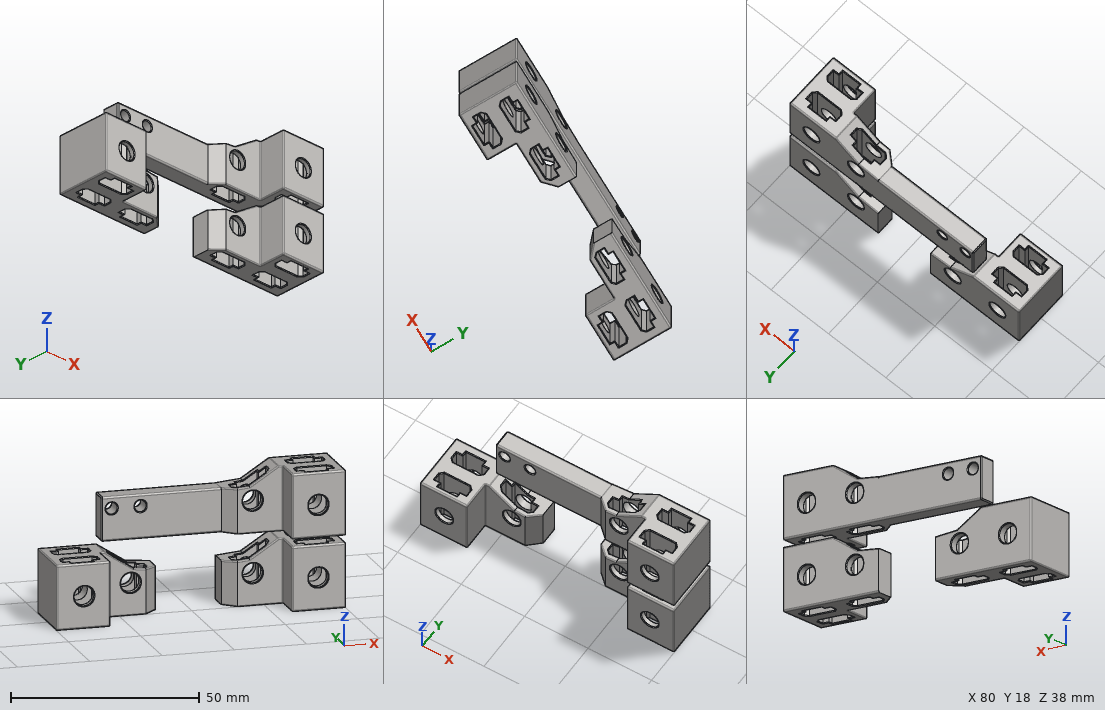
import cadquery as cq
import math

LENGTH = 80.0
DEPTH = 18.0
HEIGHT = 18.0
STACK_GAP = 2.0

BLOCK_WIDTH = 14.8
LUG_END = 30.9
LUG_THICKNESS = DEPTH / 2
LUG_FRONT = DEPTH - LUG_THICKNESS
LUG_BEVEL_START = 27.4
RAMP_START = 16.0
RAMP_FOOT = 24.0
RAMP_FOOT_HEIGHT = 12.9

ARM_END = 64.0
ARM_THICKNESS = 5.8
ARM_FRONT = DEPTH - ARM_THICKNESS
ARM_HEIGHT = 12.2

LONG_EDGE_RADIUS = 0.5
SHORT_EDGE_RADIUS = 0.3
INNER_CORNER_RADIUS = 0.2

HOLE_INSET = 7.6
HOLE_PITCH = 15.5
HOLE_LEVEL = HEIGHT / 2
BOLT_HOLE_DIAMETER = 5.4
ARM_HOLE_DIAMETER = 3.2
ARM_HOLE_INSET = 2.8
ARM_HOLE_PITCH = 8.0
ARM_HOLE_COUNT = 2

SLOT_WIDTH = 10.0
SLOT_DEPTH = 3.2
SLOT_STEP_WIDTH = 6.0
SLOT_STEP_DEPTH = 1.5
SLOT_CORNER = 1.0
BACK_SLOT_INSET = 2.6
FRONT_SLOT_INSET = 1.6

MOUTH_BEVEL = 0.2

TOLERANCE = 0.01

BLOCK_HOLE_X = -HOLE_INSET
LUG_HOLE_X = -HOLE_INSET - HOLE_PITCH

BLOCK_BACK_SLOT = (BLOCK_HOLE_X, DEPTH - BACK_SLOT_INSET, -1)
BLOCK_FRONT_SLOT = (BLOCK_HOLE_X, FRONT_SLOT_INSET, 1)
LUG_SLOT = (LUG_HOLE_X, DEPTH - BACK_SLOT_INSET, -1)


def bottom(x):
    return 0.0


def block_top(x):
    return HEIGHT


def steep_ramp(x):
    """Upper part of the lug top, from the ramp foot up to the block."""
    slope = (HEIGHT - RAMP_FOOT_HEIGHT) / (RAMP_FOOT - RAMP_START)
    return RAMP_FOOT_HEIGHT + slope * (x + RAMP_FOOT)


def gentle_ramp(x):
    """Lower part of the lug top, from the lug end up to the ramp foot."""
    slope = (RAMP_FOOT_HEIGHT - ARM_HEIGHT) / (LUG_END - RAMP_FOOT)
    return RAMP_FOOT_HEIGHT + slope * (x + RAMP_FOOT)


def bracket_blank():
    """Intersect the footprint with the side profile to get the sharp-edged bracket."""
    footprint = [
        (0, 0),
        (0, DEPTH),
        (-LUG_END, DEPTH),
        (-LUG_END, ARM_FRONT),
        (-LUG_BEVEL_START, LUG_FRONT),
        (-BLOCK_WIDTH, LUG_FRONT),
        (-BLOCK_WIDTH, 0),
    ]
    profile = [
        (0, 0),
        (0, HEIGHT),
        (-RAMP_START, HEIGHT),
        (-RAMP_FOOT, RAMP_FOOT_HEIGHT),
        (-LUG_END, ARM_HEIGHT),
        (-LUG_END, 0),
    ]
    plan = cq.Workplane("XY").polyline(footprint).close().extrude(HEIGHT)
    side = cq.Workplane("XZ").polyline(profile).close().extrude(-DEPTH)
    return plan.intersect(side)


def on_lug_front(edge):
    return abs(edge.Center().y - LUG_FRONT) < TOLERANCE


def runs_along_x(edge):
    box = edge.BoundingBox()
    return box.ylen < TOLERANCE and box.zlen < TOLERANCE


def is_inner_corner(edge):
    """The upright edge where the lug front meets the side of the block."""
    box = edge.BoundingBox()
    upright = box.xlen < TOLERANCE and box.ylen < TOLERANCE
    return upright and on_lug_front(edge) and abs(edge.Center().x + BLOCK_WIDTH) < TOLERANCE


def is_long_edge(edge):
    """Edges along X on the front and back faces of the block."""
    return runs_along_x(edge) and not on_lug_front(edge)


def is_lug_edge(edge):
    """Ramp, bevel and lug front edges: all that advance in X and are not long edges."""
    return edge.BoundingBox().xlen > TOLERANCE and not is_long_edge(edge)


def is_block_side_edge(edge):
    """Edges around the two X sides of the block."""
    if edge.BoundingBox().xlen > TOLERANCE:
        return False
    return any(abs(edge.Center().x - x) < TOLERANCE for x in (0, -BLOCK_WIDTH))


def rounded_bracket():
    body = bracket_blank()
    body = body.edges().filter(is_inner_corner).fillet(INNER_CORNER_RADIUS)
    body = body.edges().filter(is_long_edge).fillet(LONG_EDGE_RADIUS)
    body = body.edges().filter(is_lug_edge).fillet(SHORT_EDGE_RADIUS)
    return body.edges().filter(is_block_side_edge).fillet(SHORT_EDGE_RADIUS)


def rounded_arm():
    arm = cq.Workplane("XY").box(ARM_END - LUG_END, ARM_THICKNESS, ARM_HEIGHT, centered=False)
    arm = arm.translate((-ARM_END, ARM_FRONT, 0))
    arm = arm.edges("|X").fillet(LONG_EDGE_RADIUS)
    return arm.faces("<X").edges().chamfer(SHORT_EDGE_RADIUS)


def slot_outline(slot, grow=0.0):
    """Stepped slot outline, offset outward by `grow`."""
    x, step_end, inward = slot
    near = step_end - inward * grow
    shoulder = near + inward * SLOT_STEP_DEPTH
    far = step_end + inward * (SLOT_STEP_DEPTH + SLOT_DEPTH + grow)
    step_half = SLOT_STEP_WIDTH / 2 + grow
    half = SLOT_WIDTH / 2 + grow
    corner = SLOT_CORNER + grow * (2 - math.sqrt(2))
    left = [
        (x - step_half, near),
        (x - step_half, shoulder),
        (x - half, shoulder),
        (x - half, far - inward * corner),
        (x - half + corner, far),
    ]
    right = [(2 * x - px, py) for px, py in reversed(left)]
    return left + right


def slot_passage(slot):
    return cq.Workplane("XY").polyline(slot_outline(slot)).close().extrude(HEIGHT)


def slot_flare(slot, surface, outward):
    """Bevel cutter that follows `surface`; `outward` is the Z direction out of the body."""
    rims = []
    for grow, rise in ((2 * MOUTH_BEVEL, MOUTH_BEVEL), (0, -MOUTH_BEVEL)):
        points = [cq.Vector(x, y, surface(x) + outward * rise) for x, y in slot_outline(slot, grow)]
        rims.append(cq.Wire.makePolygon(points, close=True))
    return cq.Workplane(cq.Solid.makeLoft(rims, True))


def lug_slot_flares():
    """One flare for each part of the lug top, parted at the ramp foot."""
    uphill = cq.Workplane("XY").box(RAMP_FOOT, DEPTH, 2 * HEIGHT, centered=False)
    uphill = uphill.translate((-RAMP_FOOT, 0, 0))
    steep = slot_flare(LUG_SLOT, steep_ramp, 1).intersect(uphill)
    gentle = slot_flare(LUG_SLOT, gentle_ramp, 1).cut(uphill)
    return [steep, gentle]


def slot_cutters():
    cutters = lug_slot_flares()
    for slot in (BLOCK_BACK_SLOT, BLOCK_FRONT_SLOT, LUG_SLOT):
        cutters.append(slot_passage(slot))
        cutters.append(slot_flare(slot, bottom, -1))
    for slot in (BLOCK_BACK_SLOT, BLOCK_FRONT_SLOT):
        cutters.append(slot_flare(slot, block_top, 1))
    return cutters


def hole_cutter(x, front, diameter):
    """Hole along Y from y = `front` to the back face, bevelled at both mouths."""
    radius = diameter / 2
    half_section = [
        (0, front),
        (radius + MOUTH_BEVEL, front),
        (radius, front + MOUTH_BEVEL),
        (radius, DEPTH - MOUTH_BEVEL),
        (radius + MOUTH_BEVEL, DEPTH),
        (0, DEPTH),
    ]
    cutter = cq.Workplane("XY").polyline(half_section).close().revolve(360, (0, 0, 0), (0, 1, 0))
    return cutter.translate((x, 0, HOLE_LEVEL))


def make_bracket():
    body = rounded_bracket()
    for cutter in slot_cutters():
        body = body.cut(cutter)
    body = body.cut(hole_cutter(BLOCK_HOLE_X, 0, BOLT_HOLE_DIAMETER))
    return body.cut(hole_cutter(LUG_HOLE_X, LUG_FRONT, BOLT_HOLE_DIAMETER))


def make_armed_bracket():
    arm = rounded_arm()
    for index in range(ARM_HOLE_COUNT):
        x = -ARM_END + ARM_HOLE_INSET + index * ARM_HOLE_PITCH
        arm = arm.cut(hole_cutter(x, ARM_FRONT, ARM_HOLE_DIAMETER))
    return make_bracket().union(arm)


left_bracket = make_bracket().mirror("YZ")
right_bracket = make_bracket().translate((LENGTH, 0, 0))
armed_bracket = make_armed_bracket().translate((LENGTH, 0, HEIGHT + STACK_GAP))

result = cq.Compound.makeCompound([left_bracket.val(), right_bracket.val(), armed_bracket.val()])